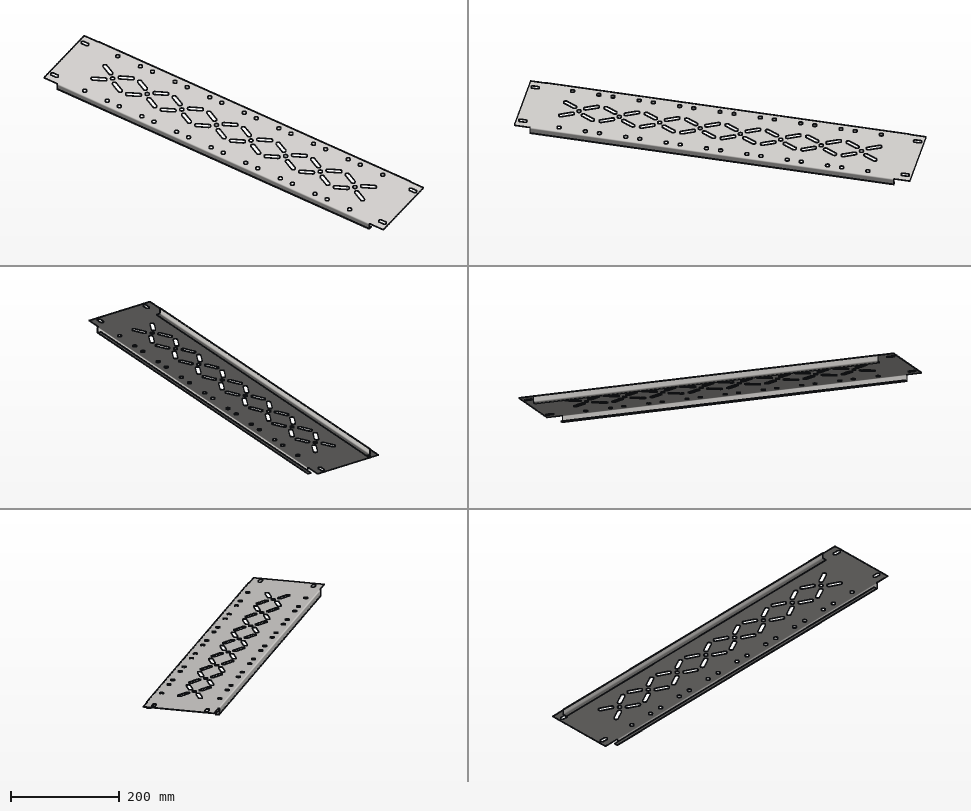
import cadquery as cq
import math

panel_length = 745.0
overall_width = 140.0
overall_height = 14.0
sheet = 1.5
bend_outer_radius = 2.5
bend_inner_radius = bend_outer_radius - sheet

ear_length = 30.0
ear_width = overall_width - 2 * bend_outer_radius
flange_length = panel_length - 2 * ear_length
lip_width = 8.5

ear_slot_length = 16.0
ear_slot_width = 7.0
ear_slot_spacing_x = 720.0
ear_slot_spacing_y = 101.6

pattern_count = 8
pattern_pitch = 76.0
hole_diameter = 8.0
edge_hole_spacing_x = 49.5
edge_hole_spacing_y = 111.0

diagonal_slot_width = 8.0
slot_inner_x = 10.5
slot_inner_y = 10.0
slot_outer_x = 29.75
slot_outer_y = 20.0

SIDES = (-1, 1)
QUADRANTS = [(side_x, side_y) for side_x in SIDES for side_y in SIDES]


def rounded_bar(width, height, radius):
    """Bar along X with its long edges rounded, centred on the origin."""
    return cq.Workplane("XY").box(flange_length, width, height).edges("|X").fillet(radius)


def folded_channel():
    """Middle of the panel, with both edges folded down and their lips folded inward."""
    outside = rounded_bar(overall_width, overall_height, bend_outer_radius)
    inside = rounded_bar(overall_width - 2 * sheet, overall_height - 2 * sheet, bend_inner_radius)
    gap_between_lips = overall_width - 2 * lip_width
    opening = (
        cq.Workplane("XY")
        .box(flange_length, gap_between_lips, overall_height)
        .translate((0, 0, -sheet))
    )
    return outside.cut(inside).cut(opening).translate((0, 0, -overall_height / 2))


def flat_plate():
    """Full-length flat sheet whose ends form the mounting ears."""
    return cq.Workplane("XY").rect(panel_length, ear_width).extrude(-sheet)


def ear_slots():
    """Cutter for the two slots in each ear."""
    return (
        cq.Workplane("XY")
        .rarray(ear_slot_spacing_x, ear_slot_spacing_y, 2, 2)
        .slot2D(ear_slot_length, ear_slot_width)
        .extrude(-sheet)
    )


def round_holes(center_x):
    """Cutter for one centre hole and the four holes near the long edges."""
    points = [(center_x, 0)]
    for side_x, side_y in QUADRANTS:
        hole_x = center_x + side_x * edge_hole_spacing_x / 2
        hole_y = side_y * edge_hole_spacing_y / 2
        points.append((hole_x, hole_y))
    return cq.Workplane("XY").pushPoints(points).circle(hole_diameter / 2).extrude(-sheet)


def diagonal_slot(center_x, side_x, side_y):
    """Cutter for one slot pointing away from the centre hole into the given quadrant."""
    run = slot_outer_x - slot_inner_x
    rise = slot_outer_y - slot_inner_y
    length = math.hypot(run, rise) + diagonal_slot_width
    angle = side_x * side_y * math.degrees(math.atan2(rise, run))
    middle_x = center_x + side_x * (slot_inner_x + slot_outer_x) / 2
    middle_y = side_y * (slot_inner_y + slot_outer_y) / 2
    return (
        cq.Workplane("XY")
        .center(middle_x, middle_y)
        .slot2D(length, diagonal_slot_width, angle)
        .extrude(-sheet)
    )


panel = folded_channel().union(flat_plate())
panel = panel.cut(ear_slots())
for index in range(pattern_count):
    pattern_x = (index - (pattern_count - 1) / 2) * pattern_pitch
    panel = panel.cut(round_holes(pattern_x))
    for side_x, side_y in QUADRANTS:
        panel = panel.cut(diagonal_slot(pattern_x, side_x, side_y))

result = panel